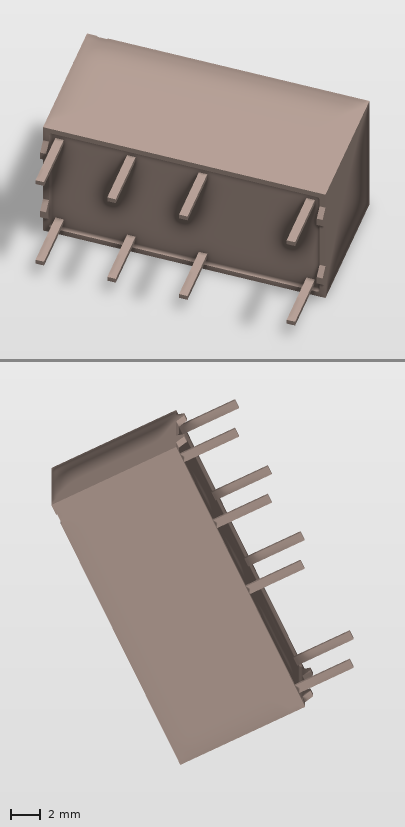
import cadquery as cq

LENGTH = 20.0
HEIGHT = 9.9
DEPTH = 9.3
FRONT_Y = 0.0
BACK_Y = FRONT_Y + DEPTH

RIM = 0.42
RECESS_RADIUS = 0.2
RECESS_DEPTH = RECESS_RADIUS

FOOT_RISE = 0.6
FOOT_TIP = 0.6
FOOT_BASE = FOOT_TIP + 2 * FOOT_RISE
FOOT_OFFSET_Z = 2.8

GROOVE_WIDTH = 0.7
GROOVE_DEPTH = 0.08

PITCH = 5.08
PIN_WIDTH = 0.6
PIN_THICKNESS = 0.35
PIN_REACH = 4.0
ROW_SPACING = 1.5 * PITCH
ROW_LENGTH = 3.5 * PITCH
FIRST_PIN_X = -ROW_LENGTH / 2
PIN_XS = [FIRST_PIN_X, FIRST_PIN_X + PITCH, FIRST_PIN_X + 2 * PITCH, FIRST_PIN_X + ROW_LENGTH]
PIN_ZS = [-ROW_SPACING / 2, ROW_SPACING / 2]


def box_between(x_range, y_range, z_range):
    """Axis-aligned box that fills the given ranges."""
    sizes = [high - low for low, high in (x_range, y_range, z_range)]
    corner = (x_range[0], y_range[0], z_range[0])
    return cq.Workplane("XY").box(*sizes, centered=False).translate(corner)


def make_recess():
    """Recess volume with rounded corners and a rounded floor edge, open past the front face."""
    half_x = LENGTH / 2 - RIM
    half_z = HEIGHT / 2 - RIM
    y_range = (FRONT_Y - RECESS_DEPTH, FRONT_Y + RECESS_DEPTH)
    recess = box_between((-half_x, half_x), y_range, (-half_z, half_z))
    return recess.edges("|Y").fillet(RECESS_RADIUS).faces(">Y").edges().fillet(RECESS_RADIUS)


def make_foot(x_start, z_center):
    """Trapezoidal foot as wide as the rim, standing on the front face."""
    profile = [
        (FRONT_Y, z_center - FOOT_BASE / 2),
        (FRONT_Y - FOOT_RISE, z_center - FOOT_TIP / 2),
        (FRONT_Y - FOOT_RISE, z_center + FOOT_TIP / 2),
        (FRONT_Y, z_center + FOOT_BASE / 2),
    ]
    return cq.Workplane("YZ", origin=(x_start, 0, 0)).polyline(profile).close().extrude(RIM)


def make_groove():
    """Full-height groove in the back face, in line with the first pins."""
    return box_between(
        (FIRST_PIN_X - GROOVE_WIDTH / 2, FIRST_PIN_X + GROOVE_WIDTH / 2),
        (BACK_Y - GROOVE_DEPTH, BACK_Y),
        (-HEIGHT / 2, HEIGHT / 2),
    )


def make_housing():
    """Block with the recess, the marker groove and four feet."""
    body = box_between((-LENGTH / 2, LENGTH / 2), (FRONT_Y, BACK_Y), (-HEIGHT / 2, HEIGHT / 2))
    body = body.cut(make_recess()).cut(make_groove())
    for x_start in (-LENGTH / 2, LENGTH / 2 - RIM):
        for z_center in (-FOOT_OFFSET_Z, FOOT_OFFSET_Z):
            body = body.union(make_foot(x_start, z_center))
    return body


def make_pin(x_center, z_center):
    """Flat pin that stands on the recess floor."""
    return box_between(
        (x_center - PIN_WIDTH / 2, x_center + PIN_WIDTH / 2),
        (FRONT_Y - PIN_REACH, FRONT_Y + RECESS_DEPTH),
        (z_center - PIN_THICKNESS / 2, z_center + PIN_THICKNESS / 2),
    )


housing = make_housing()
pins = [make_pin(x, z) for z in PIN_ZS for x in PIN_XS]

result = cq.Compound.makeCompound([housing.val(), *[pin.val() for pin in pins]])